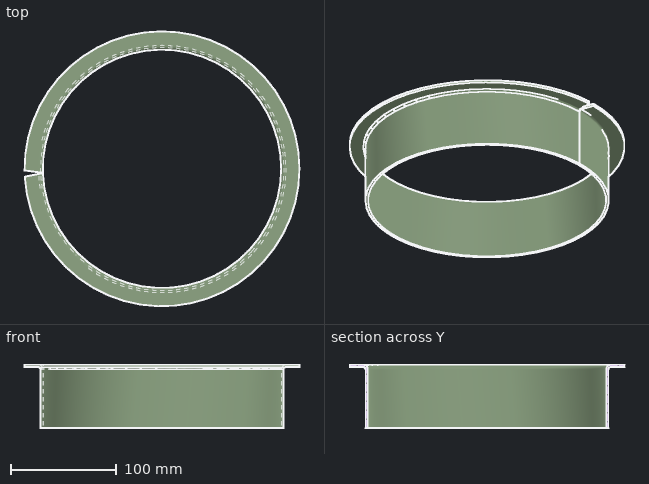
import cadquery as cq
import math

flange_radius = 130.0
sleeve_outer_radius = 115.0
wall = 2.5
height = 60.0
bend_outer_radius = 2.0
bend_inner_radius = bend_outer_radius + wall

split_angle = 182.0
split_width = 0.8
v_mouth_width = 5.8

sleeve_inner_radius = sleeve_outer_radius - wall
flange_bottom = height - wall
bend_center_radius = sleeve_outer_radius + bend_outer_radius
bend_center_height = flange_bottom - bend_outer_radius


def make_flanged_sleeve():
    """Revolve the wall section: upright sleeve, quarter-round bend, flat flange."""
    diagonal = math.cos(math.radians(45))
    inner_mid = (
        bend_center_radius - bend_inner_radius * diagonal,
        bend_center_height + bend_inner_radius * diagonal,
    )
    outer_mid = (
        bend_center_radius - bend_outer_radius * diagonal,
        bend_center_height + bend_outer_radius * diagonal,
    )
    section = (
        cq.Workplane("XZ")
        .moveTo(sleeve_inner_radius, 0)
        .lineTo(sleeve_inner_radius, bend_center_height)
        .threePointArc(inner_mid, (bend_center_radius, height))
        .lineTo(flange_radius, height)
        .lineTo(flange_radius, flange_bottom)
        .lineTo(bend_center_radius, flange_bottom)
        .threePointArc(outer_mid, (sleeve_outer_radius, bend_center_height))
        .lineTo(sleeve_outer_radius, 0)
        .close()
    )
    return section.revolve(360, (0, 0, 0), (0, 1, 0))


def make_split_cutter():
    """Full-height cutter: a narrow slot through the sleeve, then a V to the rim."""
    clearance = 5.0
    half_slot = split_width / 2
    half_mouth = v_mouth_width / 2
    slope = (half_mouth - half_slot) / (flange_radius - sleeve_outer_radius)
    start = sleeve_inner_radius - clearance
    end = flange_radius + clearance
    half_end = half_mouth + slope * clearance
    cutter = (
        cq.Workplane("XY")
        .polyline([
            (start, -half_slot),
            (sleeve_outer_radius, -half_slot),
            (end, -half_end),
            (end, half_end),
            (sleeve_outer_radius, half_slot),
            (start, half_slot),
        ])
        .close()
        .extrude(height)
    )
    return cutter.rotate((0, 0, 0), (0, 0, 1), split_angle)


result = make_flanged_sleeve().cut(make_split_cutter())